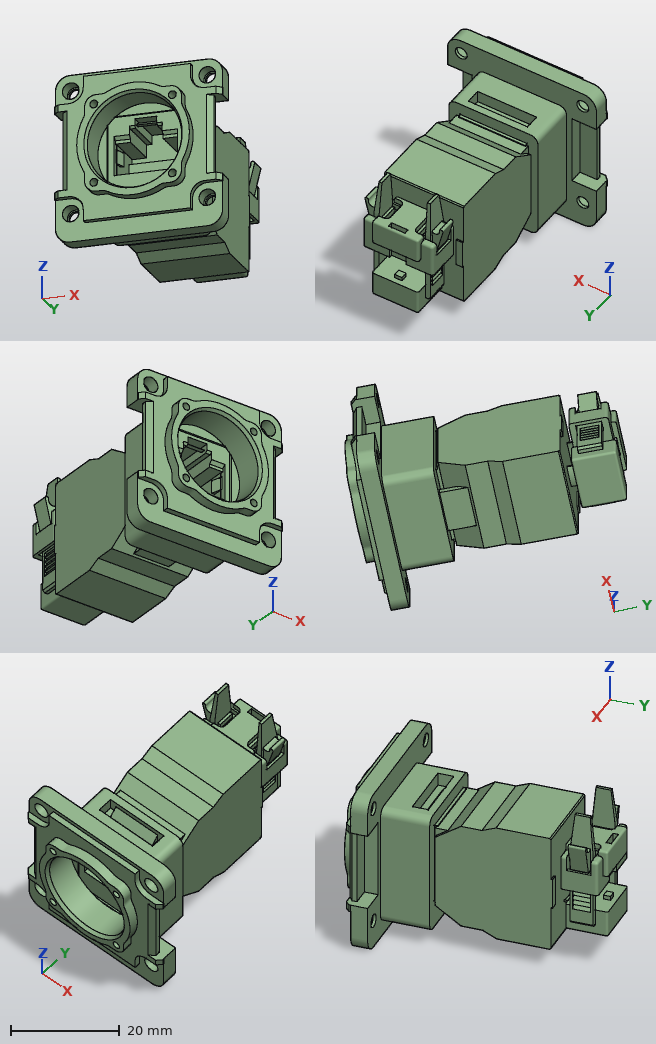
import cadquery as cq
import math


RING_FRONT, PLATE_FRONT, FLANGE_FRONT, FLANGE_BACK, BLOCK_BACK = 0.0, 2.1, 3.25, 6.65, 16.3
FLANGE_WIDTH, FLANGE_TOP, FLANGE_BOTTOM, FLANGE_CORNER = 32.5, 15.0, -17.5, 2.9
PLATE_WIDTH, PLATE_HALF_HEIGHT = 32.6, 14.1
HOLE_CLEARANCE = 2.9
HOLE_X, HOLE_Z, HOLE_R, HOLE_BACK_R, HOLE_STEP_Y = 13.3, 11.95, 1.6, 1.3, 6.0
NOTCH_X, NOTCH_HALF_HEIGHT = 14.7, 7.7
NOTCH_BEVEL_X, NOTCH_BEVEL_Y, TAB_BEVEL = 1.15, 0.9, 0.95
NOTCH_STEP_Y, NOTCH_DEEP_X = 3.9, 10.9
RING_R, LOBE_HALF, LOBE_R, LOBE_FLAT_END = 10.95, 9.4, 2.2, 6.1
BORE_R, BORE_MOUTH_R, BORE_TAPER = 9.15, 9.55, 0.8
PILOT_OFFSET, PILOT_R, PILOT_DEPTH = 7.65, 0.75, 2.97
BLOCK_HALF_WIDTH, BLOCK_TOP, BLOCK_BOTTOM, BLOCK_CORNER = 9.7, 9.7, -14.4, 1.6
WINDOW_HALF, WINDOW_TOP, WINDOW_BOTTOM = 7.4, 7.2, -8.9
SLOT_HALF, SLOT_FRONT, SLOT_BACK = 6.45, 11.65, 14.77

INSERT_FRONT, INSERT_RIGHT = 7.05, 7.25
JACK_DEPTH, JACK_HALF, JACK_TOP, JACK_BOTTOM = 9.9, 6.0, 3.5, -3.95
MOUTH_STEP, MOUTH_DEPTH = 0.15, 1.2
KEY_HALF, KEY_TOP, KEYTAB_HALF, KEYTAB_TOP = 3.15, 5.2, 2.15, 6.5
SHELF_LIP, SHELF_BEVEL, KEY_BEVEL = 0.65, 0.65, 0.45
LATCH_BAR_BOTTOM, LATCH_BAR_TOP, LATCH_BAR_FRONT, LATCH_BAR_BACK = 5.5, 6.2, 7.8, 8.8
CONTACT_DEPTH, CONTACT_TOP = 7.95, 0.7
SPRING_TOP, SPRING_BOTTOM, SPRING_REACH, SPRING_LENGTH = 1.2, -1.5, 0.7, 2.97
RAMP_HALF, RAMP_FRONT, RAMP_BACK, RAMP_RISE = 5.05, 13.1, 14.7, 1.65
TONGUE_HALF, TONGUE_TOP, TONGUE_BOTTOM, TONGUE_BACK, TONGUE_POCKET = 3.95, -10.75, -12.05, 22.8, 2.97
BOOT_HALF, BOOT_FRONT, BOOT_BACK, BOOT_BEVEL = 8.65, 16.95, 39.75, 0.25
COLLAR_HALF, COLLAR_FRONT, COLLAR_BACK, COLLAR_TOP = 7.85, 16.6, 20.8, 7.0
PAD_BACK, PAD_WIDTH, PAD_TOP, PAD_BOTTOM = 40.05, 1.45, 1.4, -4.7
BOOT_OUTLINE = [
    (BOOT_FRONT, 5.5), (22.05, 8.9), (26.2, 8.9), (28.95, 10.05), (BOOT_BACK, 10.05),
    (BOOT_BACK, -13.6), (29.05, -13.6), (26.3, -12.35), (22.05, -12.35), (BOOT_FRONT, -9.0),
]

EMBED = 0.5

SHEATH_R, SHEATH_WALL, SHEATH_HALF, SHEATH_Z = 5.55, 0.35, 2.05, -1.8
CLIP_FRONT, CLIP_BACK, CLIP_HALF, CLIP_EDGE_R = 41.15, 49.6, 5.05, 0.45
CAP_TOP, CAP_BOTTOM = 7.25, 2.1
FRAME_BACK, FRAME_HALF, FRAME_TOP, FRAME_BOTTOM, FRAME_EDGE_R = 48.6, 7.65, 6.15, -0.85, 0.6
SADDLE_TOP, SADDLE_BOTTOM = -5.5, -10.8
STRAP_Y, STRAP_HALF, STRAP_OUTER, STRAP_BOTTOM, STRAP_BEVEL = 44.8, 2.3, 6.2, -8.65, 0.45
FRAME_OPENING, FRAME_OPENING_HALF = 7.0, 2.45
BAY_X, BAY_DEEP_X, BAY_HALF, BAY_FLOOR, BAY_CORNER = 2.85, 3.4, 2.85, 4.95, 1.0
FINGER_INNER, FINGER_OUTER, FINGER_TOP = 4.2, 4.8, 6.15
BLADE_TOP, BLADE_ROOT, BLADE_TIP_HALF = 14.35, 6.95, 1.5
BLADE_TIP_INNER, BLADE_TIP_OUTER = 4.95, 5.6
TAB_HALF, TAB_BOTTOM, TAB_TOP, TAB_OUTER, TAB_ROOT_X = 1.75, 3.3, 9.25, 8.55, 7.15
TAB_INNER, TAB_WALL, VALLEY_Z, VALLEY_END_X = 5.3, 0.8, 7.7, 5.85
TOOTH_COUNT, TOOTH_PITCH, TOOTH_DEPTH = 5, 1.0, 0.6
EYE_HALF, EYE_FRONT, EYE_BACK = 1.8, 47.95, 49.0
LUG_HALF, LUG_FRONT, LUG_BACK, LUG_HEIGHT = 0.8, 47.05, 48.45, 0.8


def box(x0, x1, y0, y1, z0, z1):
    """Box given by its limits along each axis."""
    return cq.Workplane("XY").box(x1 - x0, y1 - y0, z1 - z0, centered=False).translate((x0, y0, z0))


def face_sketch(y):
    """Workplane at depth y with local axes X and Z; negative extrusion runs rearward (+Y)."""
    return cq.Workplane("XZ", origin=(0, y, 0))


def rod(x, z, radius, y0, y1):
    """Cylinder along Y."""
    return face_sketch(y0).center(x, z).circle(radius).extrude(y0 - y1)


def side_profile(points, x0, x1):
    """Outline in Y and Z extruded along X from x0 to x1."""
    return cq.Workplane("YZ", origin=(x0, 0, 0)).polyline(points).close().extrude(x1 - x0)


def both_sides(shape):
    """The shape together with its mirror image across the plane x = 0."""
    return shape.union(shape.mirror("YZ"))


def flange():
    height = FLANGE_TOP - FLANGE_BOTTOM
    body = (
        face_sketch(FLANGE_FRONT)
        .center(0, (FLANGE_TOP + FLANGE_BOTTOM) / 2)
        .rect(FLANGE_WIDTH, height)
        .extrude(FLANGE_FRONT - FLANGE_BACK)
    )
    return body.edges("|Y").fillet(FLANGE_CORNER)


def raised_plate():
    """Cross-shaped plate whose inner corners curve around the mounting holes."""
    half_width = PLATE_WIDTH / 2
    plate = box(-half_width, half_width, PLATE_FRONT, FLANGE_FRONT, -PLATE_HALF_HEIGHT, PLATE_HALF_HEIGHT)
    plate = plate.edges("|Z and <Y").chamfer(TAB_BEVEL)
    stem_x = HOLE_X - HOLE_CLEARANCE
    shoulder_z = HOLE_Z - HOLE_CLEARANCE
    beside = box(HOLE_X, PLATE_WIDTH, PLATE_FRONT, FLANGE_FRONT, shoulder_z, PLATE_WIDTH)
    above = box(stem_x, PLATE_WIDTH, PLATE_FRONT, FLANGE_FRONT, HOLE_Z, PLATE_WIDTH)
    around_hole = rod(HOLE_X, HOLE_Z, HOLE_CLEARANCE, PLATE_FRONT, FLANGE_FRONT)
    upper_corners = both_sides(beside.union(above).union(around_hole))
    return plate.cut(upper_corners).cut(upper_corners.mirror("XY"))


def lobed_ring():
    """Round ring with four rounded corner lobes, blended by concave arcs."""
    depth = PLATE_FRONT - RING_FRONT
    disc = rod(0, 0, RING_R, RING_FRONT, PLATE_FRONT)
    square = face_sketch(RING_FRONT).rect(2 * LOBE_HALF, 2 * LOBE_HALF).extrude(-depth)
    square = square.edges("|Y").fillet(LOBE_R)
    ring = disc.union(square)
    blend_r = (LOBE_FLAT_END**2 + LOBE_HALF**2 - RING_R**2) / (2 * (RING_R - LOBE_HALF))
    reach = RING_R / (RING_R + blend_r)
    touch = (LOBE_FLAT_END * reach, (LOBE_HALF + blend_r) * reach)
    blend_sweep = math.atan2(LOBE_FLAT_END, LOBE_HALF + blend_r)
    middle = (
        LOBE_FLAT_END - blend_r * math.sin(blend_sweep / 2),
        LOBE_HALF + blend_r - blend_r * math.cos(blend_sweep / 2),
    )
    web = (
        face_sketch(RING_FRONT)
        .moveTo(LOBE_FLAT_END, LOBE_HALF)
        .threePointArc(middle, touch)
        .lineTo(touch[0] * LOBE_HALF / RING_R, touch[1] * LOBE_HALF / RING_R)
        .close()
        .extrude(-depth)
    )
    webs = both_sides(web)
    for quarter in range(4):
        ring = ring.union(webs.rotate((0, 0, 0), (0, 1, 0), 90 * quarter))
    return ring


def rear_block():
    block = box(-BLOCK_HALF_WIDTH, BLOCK_HALF_WIDTH, FLANGE_BACK, BLOCK_BACK, BLOCK_BOTTOM, BLOCK_TOP)
    block = block.edges("|Y").fillet(BLOCK_CORNER)
    window = box(-WINDOW_HALF, WINDOW_HALF, FLANGE_BACK, BLOCK_BACK, WINDOW_BOTTOM, WINDOW_TOP)
    latch_slot = box(-SLOT_HALF, SLOT_HALF, SLOT_FRONT, SLOT_BACK, 0, BLOCK_TOP)
    pocket_front = BLOCK_BACK - TONGUE_POCKET
    tongue_pocket = box(-TONGUE_HALF, TONGUE_HALF, pocket_front, BLOCK_BACK, TONGUE_BOTTOM, TONGUE_TOP)
    return block.cut(window).cut(latch_slot).cut(tongue_pocket)


def mounting_holes():
    holes = cq.Workplane("XY")
    for x in (-HOLE_X, HOLE_X):
        for z in (-HOLE_Z, HOLE_Z):
            holes = holes.union(rod(x, z, HOLE_R, PLATE_FRONT, HOLE_STEP_Y))
            holes = holes.union(rod(x, z, HOLE_BACK_R, HOLE_STEP_Y, FLANGE_BACK))
    return holes


def pilot_holes():
    holes = cq.Workplane("XY")
    for x in (-PILOT_OFFSET, PILOT_OFFSET):
        for z in (-PILOT_OFFSET, PILOT_OFFSET):
            holes = holes.union(rod(x, z, PILOT_R, RING_FRONT, PILOT_DEPTH))
    return holes


def side_notches():
    """Notches in both side edges, bevelled at the front and deeper behind a lip."""
    bevel_end = PLATE_FRONT + NOTCH_BEVEL_Y
    outline = [
        (NOTCH_X - NOTCH_BEVEL_X, PLATE_FRONT), (PLATE_WIDTH, PLATE_FRONT),
        (PLATE_WIDTH, FLANGE_BACK), (NOTCH_DEEP_X, FLANGE_BACK), (NOTCH_DEEP_X, NOTCH_STEP_Y),
        (NOTCH_X, NOTCH_STEP_Y), (NOTCH_X, bevel_end),
    ]
    notch = (
        cq.Workplane("XY", origin=(0, 0, -NOTCH_HALF_HEIGHT))
        .polyline(outline)
        .close()
        .extrude(2 * NOTCH_HALF_HEIGHT)
    )
    return both_sides(notch)


def bore():
    hole = rod(0, 0, BORE_R, RING_FRONT, FLANGE_BACK)
    mouth_outline = [
        (0, RING_FRONT), (BORE_MOUTH_R, RING_FRONT),
        (BORE_R, RING_FRONT + BORE_TAPER), (0, RING_FRONT + BORE_TAPER),
    ]
    mouth = cq.Workplane("XY").polyline(mouth_outline).close().revolve(360, (0, 0, 0), (0, 1, 0))
    return hole.union(mouth)


def make_housing():
    front = flange().union(raised_plate()).union(lobed_ring())
    front = front.cut(bore()).cut(mounting_holes()).cut(pilot_holes()).cut(side_notches())
    return front.union(rear_block())


def step_opening(half_width, base, bevel):
    """Upper step of the jack opening, starting at z = 0, with a bevelled mouth above its ceiling at base."""
    back = INSERT_FRONT + JACK_DEPTH
    outline = [
        (INSERT_FRONT, 0), (INSERT_FRONT, base + bevel),
        (INSERT_FRONT + bevel, base), (back, base), (back, 0),
    ]
    return side_profile(outline, -half_width, half_width)


def jack_opening():
    """RJ45 opening: stepped outline, bevelled shelves, latch bar, contact block and side springs."""
    back = INSERT_FRONT + JACK_DEPTH
    mouth_half = JACK_HALF + MOUTH_STEP
    shelf_base = JACK_TOP - SHELF_LIP - SHELF_BEVEL
    mouth_back = INSERT_FRONT + MOUTH_DEPTH
    mouth_floor = JACK_BOTTOM - MOUTH_STEP
    mouth = box(-mouth_half, mouth_half, INSERT_FRONT, mouth_back, mouth_floor, shelf_base)
    shelf_bevel = [
        (INSERT_FRONT, shelf_base), (INSERT_FRONT, JACK_TOP),
        (INSERT_FRONT + SHELF_BEVEL, JACK_TOP - SHELF_BEVEL), (INSERT_FRONT + SHELF_BEVEL, shelf_base),
    ]
    cavity = box(-JACK_HALF, JACK_HALF, INSERT_FRONT, back, JACK_BOTTOM, shelf_base)
    cavity = cavity.union(mouth).union(side_profile(shelf_bevel, -mouth_half, mouth_half))
    cavity = cavity.union(step_opening(KEY_HALF, KEY_TOP - KEY_BEVEL, KEY_BEVEL))
    cavity = cavity.union(box(-KEYTAB_HALF, KEYTAB_HALF, INSERT_FRONT, back, 0, KEYTAB_TOP))
    latch_bar = [
        (LATCH_BAR_FRONT, LATCH_BAR_BOTTOM),
        (LATCH_BAR_BACK, LATCH_BAR_TOP),
        (LATCH_BAR_BACK, LATCH_BAR_BOTTOM),
    ]
    cavity = cavity.cut(side_profile(latch_bar, -KEYTAB_HALF, KEYTAB_HALF))
    contact_front = INSERT_FRONT + CONTACT_DEPTH
    cavity = cavity.cut(box(-JACK_HALF, JACK_HALF, contact_front, back, JACK_BOTTOM, CONTACT_TOP))
    spring = (
        cq.Workplane("XY", origin=(0, 0, SPRING_BOTTOM))
        .polyline([
            (JACK_HALF, INSERT_FRONT + SPRING_REACH),
            (JACK_HALF - SPRING_REACH, INSERT_FRONT + SPRING_LENGTH),
            (JACK_HALF, INSERT_FRONT + SPRING_LENGTH),
        ])
        .close()
        .extrude(SPRING_TOP - SPRING_BOTTOM)
    )
    return cavity.cut(both_sides(spring))


def insert():
    """Jack body filling the window of the housing, with the latch ramp on top."""
    body = box(-WINDOW_HALF, INSERT_RIGHT, INSERT_FRONT, COLLAR_BACK, WINDOW_BOTTOM, WINDOW_TOP)
    body = body.cut(box(-BOOT_HALF, BOOT_HALF, BOOT_FRONT, COLLAR_BACK, COLLAR_TOP, WINDOW_TOP))
    ramp = [(RAMP_FRONT, WINDOW_TOP), (RAMP_BACK, WINDOW_TOP), (RAMP_BACK, WINDOW_TOP + RAMP_RISE)]
    return body.union(side_profile(ramp, -RAMP_HALF, RAMP_HALF)).cut(jack_opening())


def boot():
    body = side_profile(BOOT_OUTLINE, -BOOT_HALF, BOOT_HALF)
    body = body.faces(">Y").edges("|X").chamfer(BOOT_BEVEL)
    collar = box(-COLLAR_HALF, COLLAR_HALF, COLLAR_FRONT, COLLAR_BACK, WINDOW_BOTTOM, COLLAR_TOP)
    pad = box(BOOT_HALF - PAD_WIDTH, BOOT_HALF, BOOT_BACK - EMBED, PAD_BACK, PAD_BOTTOM, PAD_TOP)
    tongue_front = BLOCK_BACK - TONGUE_POCKET
    tongue = box(-TONGUE_HALF, TONGUE_HALF, tongue_front, TONGUE_BACK, TONGUE_BOTTOM, TONGUE_TOP)
    return body.union(collar).union(both_sides(pad)).union(tongue)


def sheath():
    """Upper and lower strips of a cable sheath, running from the boot into the clip."""
    front = BOOT_BACK - EMBED
    back = CLIP_FRONT + EMBED
    tube = rod(0, SHEATH_Z, SHEATH_R, front, back)
    tube = tube.cut(rod(0, SHEATH_Z, SHEATH_R - SHEATH_WALL, front, back))
    strips = box(-SHEATH_HALF, SHEATH_HALF, front, back, SHEATH_Z - SHEATH_R, SHEATH_Z + SHEATH_R)
    return tube.intersect(strips)


def clip_upper():
    """Cap and surrounding frame, with bays and openings for the levers."""
    cap = box(-CLIP_HALF, CLIP_HALF, CLIP_FRONT, CLIP_BACK, CAP_BOTTOM, CAP_TOP)
    cap = cap.edges("|Z or >Z").fillet(CLIP_EDGE_R)
    frame = box(-FRAME_HALF, FRAME_HALF, CLIP_FRONT, FRAME_BACK, FRAME_BOTTOM, FRAME_TOP)
    frame = frame.edges("|Z or >Z").fillet(FRAME_EDGE_R)
    body = cap.union(frame)
    bay = box(BAY_X, FRAME_HALF, STRAP_Y - BAY_HALF, STRAP_Y + BAY_HALF, FRAME_TOP, CAP_TOP)
    bay = bay.edges("|Z and <X").fillet(BAY_CORNER)
    opening_front = STRAP_Y - FRAME_OPENING_HALF
    opening_back = STRAP_Y + FRAME_OPENING_HALF
    deep_bay = box(BAY_DEEP_X, CLIP_HALF, opening_front, opening_back, BAY_FLOOR, CAP_TOP)
    opening = box(CLIP_HALF, FRAME_OPENING, opening_front, opening_back, FRAME_BOTTOM, FRAME_TOP)
    wall_notch = box(FRAME_OPENING, FRAME_HALF, opening_front, opening_back, TAB_BOTTOM, FRAME_TOP)
    body = body.cut(both_sides(bay.union(deep_bay).union(opening).union(wall_notch)))
    finger = box(FINGER_INNER, FINGER_OUTER, STRAP_Y - TAB_HALF, STRAP_Y + TAB_HALF, BAY_FLOOR, FINGER_TOP)
    body = body.union(both_sides(finger))
    return body.cut(box(-EYE_HALF, EYE_HALF, EYE_FRONT, EYE_BACK, FRAME_BOTTOM, CAP_TOP))


def clip_saddle():
    saddle = box(-CLIP_HALF, CLIP_HALF, CLIP_FRONT, CLIP_BACK, SADDLE_BOTTOM, SADDLE_TOP)
    saddle = saddle.edges("|Z or <Z").fillet(CLIP_EDGE_R)
    lug = box(-LUG_HALF, LUG_HALF, LUG_FRONT, LUG_BACK, SADDLE_TOP, SADDLE_TOP + LUG_HEIGHT)
    return saddle.union(lug)


def lever_profile(half_width):
    """Workplane in X and Z from which an extrusion of -2 * half_width is centred on the strap."""
    return face_sketch(STRAP_Y - half_width)


def strap():
    """Flat strap down the side of the saddle with a row of ratchet teeth."""
    body = box(CLIP_HALF, STRAP_OUTER, STRAP_Y - STRAP_HALF, STRAP_Y + STRAP_HALF, STRAP_BOTTOM, BLADE_ROOT)
    body = body.faces("<Z").edges(">X").chamfer(STRAP_BEVEL)
    for index in range(TOOTH_COUNT):
        bottom = SADDLE_TOP + index * TOOTH_PITCH
        top = bottom + TOOTH_PITCH
        outline = [(STRAP_OUTER, top), (STRAP_OUTER - TOOTH_DEPTH, top), (STRAP_OUTER, bottom)]
        body = body.cut(lever_profile(TAB_HALF).polyline(outline).close().extrude(-2 * TAB_HALF))
    return body


def blade():
    """Upright release blade, leaning inward and narrowing towards its tip."""
    section = [
        (CLIP_HALF, BLADE_ROOT), (STRAP_OUTER, BLADE_ROOT),
        (BLADE_TIP_OUTER, BLADE_TOP), (BLADE_TIP_INNER, BLADE_TOP),
    ]
    taper = [
        (STRAP_Y - STRAP_HALF, BLADE_ROOT), (STRAP_Y + STRAP_HALF, BLADE_ROOT),
        (STRAP_Y + BLADE_TIP_HALF, BLADE_TOP), (STRAP_Y - BLADE_TIP_HALF, BLADE_TOP),
    ]
    body = lever_profile(STRAP_HALF).polyline(section).close().extrude(-2 * STRAP_HALF)
    return body.intersect(side_profile(taper, 0, STRAP_OUTER))


def finger_tab():
    """Flared tab outside the blade, with a rounded rim and a round valley between tab and blade."""
    rim_z = TAB_TOP - TAB_WALL / 2
    rim_inner = TAB_OUTER - TAB_WALL
    return (
        lever_profile(TAB_HALF)
        .moveTo(TAB_INNER, TAB_BOTTOM)
        .lineTo(TAB_ROOT_X, TAB_BOTTOM)
        .lineTo(TAB_OUTER, rim_z)
        .threePointArc((TAB_OUTER - TAB_WALL / 2, TAB_TOP), (rim_inner, rim_z))
        .threePointArc(((rim_inner + VALLEY_END_X) / 2, VALLEY_Z), (VALLEY_END_X, rim_z))
        .lineTo(TAB_INNER, BLADE_ROOT)
        .close()
        .extrude(-2 * TAB_HALF)
    )


def lever():
    """Lever on the +X side."""
    return strap().union(blade()).union(finger_tab())


def make_module():
    body = boot().union(insert()).union(sheath())
    return body.union(clip_upper()).union(clip_saddle()).union(both_sides(lever()))


housing = make_housing()
module = make_module()
result = cq.Compound.makeCompound([*housing.vals(), *module.vals()])